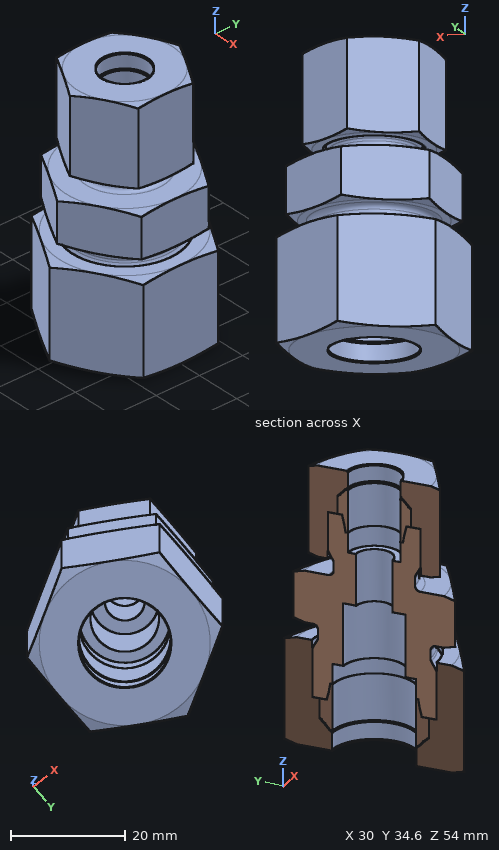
import cadquery as cq
import math


TOTAL_HEIGHT = 54.0

HEX_SIDES = 6
CHAMFER_ANGLE = 15.0
CHAMFER_CIRCLE_INSET = 0.1

BODY_FLATS = 27.0
BODY_HEX_TOP = 33.5
BODY_HEX_BOTTOM = 23.55

RELIEF_FILLET = 1.0
GROOVE_FLAT = 1.35
RUNOUT_ANGLE = 30.0
NUT_START = 3.0
NUT_BORE_CLEARANCE = 0.1
NUT_MOUTH_WIDTH = 0.1
NUT_MOUTH_DEPTH = 0.25
RING_GAP = 0.4
SEAT_HALF_ANGLE = 12.0
NOSE_LENGTH = 3.25
SOCKET_DEPTH = 7.0

UPPER_END = {
    "tube": 10.0,
    "bore": 7.0,
    "neck": 15.7,
    "thread": 18.0,
    "seat": 12.3,
    "collar": 14.0,
    "stub_length": 12.0,
    "nut_flats": 22.0,
    "nut_end": TOTAL_HEIGHT - BODY_HEX_TOP,
    "nut_bore_length": 3.25,
}
LOWER_END = {
    "tube": 16.0,
    "bore": 12.0,
    "neck": 21.7,
    "thread": 24.0,
    "seat": 18.2,
    "collar": 21.0,
    "stub_length": 14.0,
    "nut_flats": 30.0,
    "nut_end": BODY_HEX_BOTTOM,
    "nut_bore_length": 3.5,
}


def revolved(points):
    """Solid of revolution about Z from a closed outline of (radius, height) points."""
    return cq.Workplane("XZ").polyline(points).close().revolve(360, (0, 0, 0), (0, 1, 0))


def hexagon(flats, bottom, top):
    """Hexagonal prism with flats facing +X and -X and both ends chamfered by a cone."""
    across_corners = flats / math.cos(math.pi / HEX_SIDES)
    prism = (
        cq.Workplane("XY", origin=(0, 0, bottom))
        .polygon(HEX_SIDES, across_corners)
        .extrude(top - bottom)
        .rotate((0, 0, 0), (0, 0, 1), 90)
    )
    end_radius = (flats - CHAMFER_CIRCLE_INSET) / 2
    outer_radius = across_corners / 2
    drop = (outer_radius - end_radius) * math.tan(math.radians(CHAMFER_ANGLE))
    envelope = revolved([
        (0, bottom),
        (end_radius, bottom),
        (outer_radius, bottom + drop),
        (outer_radius, top - drop),
        (end_radius, top),
        (0, top),
    ])
    return prism.intersect(envelope)


def nose_tip_radius(end):
    """Radius at the small end of the ring nose and its seat."""
    return end["seat"] / 2 - NOSE_LENGTH * math.tan(math.radians(SEAT_HALF_ANGLE))


def nut_bore_end(end):
    """Height where the nut bore opens into the 45 degree clamping cone."""
    return end["nut_end"] - end["nut_bore_length"]


def nut_bore_radius(end):
    return (end["tube"] + NUT_BORE_CLEARANCE) / 2


def collar_top(end):
    """Height where the 45 degree clamping cone meets the ring collar."""
    return nut_bore_end(end) - (end["collar"] / 2 - nut_bore_radius(end))


def place_upper(shape):
    """Move a shape from its end's own heights onto the top face of the body hexagon."""
    return shape.translate((0, 0, BODY_HEX_TOP))


def place_lower(shape):
    """Turn a shape upside down onto the bottom face of the body hexagon."""
    return shape.rotate((0, 0, 0), (1, 0, 0), 180).translate((0, 0, BODY_HEX_BOTTOM))


def fillet_drift(turn):
    """Radial distance from the neck after the fillet has turned by an angle in degrees."""
    return RELIEF_FILLET * (1 - math.cos(math.radians(turn)))


def fillet_rise(turn):
    """Axial distance from the tangent edge after the fillet has turned by an angle in degrees."""
    return RELIEF_FILLET * math.sin(math.radians(turn))


def make_stub(end):
    """Solid threaded stub with a filleted relief groove next to the hexagon."""
    neck = end["neck"] / 2
    thread = end["thread"] / 2
    quarter_turn = 90
    groove_top = RELIEF_FILLET + GROOVE_FLAT
    cone_start = neck + fillet_drift(RUNOUT_ANGLE)
    cone_bottom = groove_top + fillet_rise(RUNOUT_ANGLE)
    cone_length = (thread - cone_start) / math.tan(math.radians(RUNOUT_ANGLE))
    return (
        cq.Workplane("XZ")
        .lineTo(neck + RELIEF_FILLET, 0)
        .threePointArc(
            (neck + fillet_drift(quarter_turn / 2), RELIEF_FILLET - fillet_rise(quarter_turn / 2)),
            (neck, RELIEF_FILLET),
        )
        .lineTo(neck, groove_top)
        .threePointArc(
            (neck + fillet_drift(RUNOUT_ANGLE / 2), groove_top + fillet_rise(RUNOUT_ANGLE / 2)),
            (cone_start, cone_bottom),
        )
        .lineTo(thread, cone_bottom + cone_length)
        .lineTo(thread, end["stub_length"])
        .lineTo(0, end["stub_length"])
        .close()
        .revolve(360, (0, 0, 0), (0, 1, 0))
    )


def make_passage(end):
    """Bore from the middle of the hexagon, tube socket and conical ring seat."""
    stub_end = end["stub_length"]
    stop = stub_end - SOCKET_DEPTH
    nose_tip = stub_end - NOSE_LENGTH
    hex_middle = -(BODY_HEX_TOP - BODY_HEX_BOTTOM) / 2
    return revolved([
        (0, hex_middle),
        (end["bore"] / 2, hex_middle),
        (end["bore"] / 2, stop),
        (end["tube"] / 2, stop),
        (end["tube"] / 2, nose_tip),
        (nose_tip_radius(end), nose_tip),
        (end["seat"] / 2, stub_end),
        (0, stub_end),
    ])


def make_body():
    body = hexagon(BODY_FLATS, BODY_HEX_BOTTOM, BODY_HEX_TOP)
    body = body.union(place_upper(make_stub(UPPER_END)))
    body = body.union(place_lower(make_stub(LOWER_END)))
    body = body.cut(place_upper(make_passage(UPPER_END)))
    return body.cut(place_lower(make_passage(LOWER_END)))


def make_nut(end):
    """Hexagonal union nut, hollowed to fit the stub thread and the ring."""
    top = end["nut_end"]
    bore = nut_bore_radius(end)
    hollow = revolved([
        (0, NUT_START),
        (end["thread"] / 2, NUT_START),
        (end["thread"] / 2, end["stub_length"]),
        (end["collar"] / 2, end["stub_length"]),
        (end["collar"] / 2, collar_top(end)),
        (bore, nut_bore_end(end)),
        (bore, top - NUT_MOUTH_DEPTH),
        (bore + NUT_MOUTH_WIDTH, top),
        (0, top),
    ])
    return hexagon(end["nut_flats"], NUT_START, top).cut(hollow)


def make_ring(end):
    """Cutting ring with a nose cone in the body seat and a 45 degree cone in the nut."""
    stub_end = end["stub_length"]
    nose_tip = stub_end - NOSE_LENGTH
    ring_top = nut_bore_end(end) - RING_GAP
    bore = end["tube"] / 2
    return revolved([
        (bore, nose_tip),
        (nose_tip_radius(end), nose_tip),
        (end["seat"] / 2, stub_end),
        (end["collar"] / 2, stub_end),
        (end["collar"] / 2, collar_top(end)),
        (nut_bore_radius(end) + RING_GAP, ring_top),
        (bore, ring_top),
    ])


body = make_body()
nuts = []
rings = []
for end, place in ((UPPER_END, place_upper), (LOWER_END, place_lower)):
    nuts.append(place(make_nut(end)).val())
    rings.append(place(make_ring(end)).val())

result = cq.Compound.makeCompound([body.val(), *nuts, *rings])